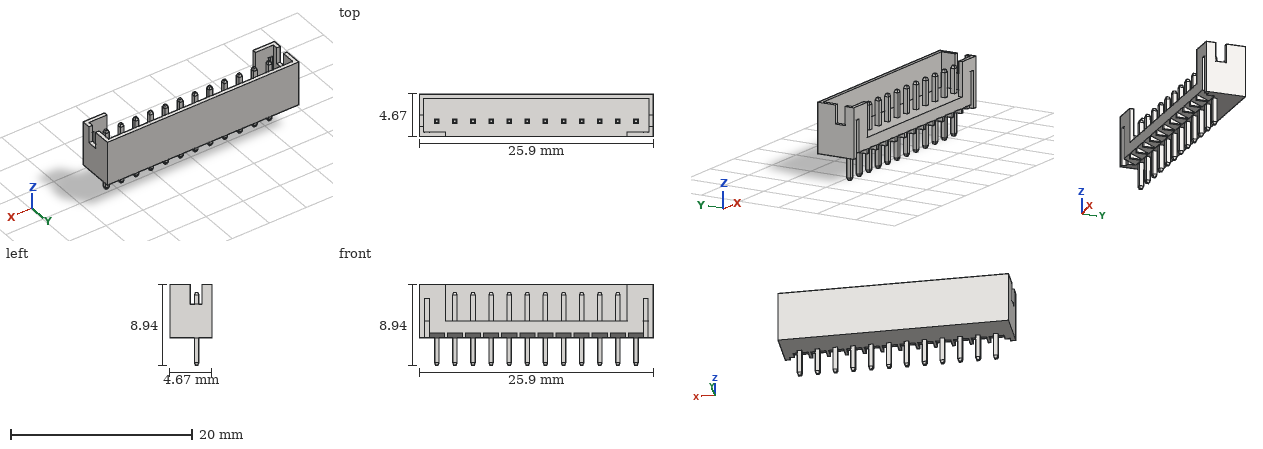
import cadquery as cq
import math


length = 25.86
depth = 4.67
height = 5.9
wall = 0.48
floor_top = 1.87
front_post_width = 2.91

notch_from_front = 1.13
notch_width = 1.27
notch_bottom = 3.72

slot_inset = 0.58
slot_width = 0.54
slot_top = 4.37

relief_height = 0.55
relief_slope = 21.5
rib_width = 0.33

pin_count = 12
pitch = 2.0
pin_width = 0.5
pin_from_front = 1.7
pin_top = 5.02
total_height = 8.94
tip_height = 0.3
tip_slope = 19.8

front_y = -depth / 2
back_y = depth / 2
pin_y = front_y + pin_from_front
pin_bottom = height - total_height
first_pin_x = -(pin_count - 1) * pitch / 2
slot_outer_x = length / 2 - slot_inset
slot_inner_x = slot_outer_x - slot_width
relief_depth = relief_height / math.tan(math.radians(relief_slope))
tip_width = pin_width - 2 * tip_height * math.tan(math.radians(tip_slope))


def block(x_range, y_range, z_range):
    """Box spanning the given (low, high) limits on each axis."""
    sizes = [high - low for low, high in (x_range, y_range, z_range)]
    corner = (x_range[0], y_range[0], z_range[0])
    return cq.Workplane("XY").box(*sizes, centered=False).translate(corner)


def make_shell():
    """Housing with its cavity, front opening and end-wall notches."""
    half = length / 2
    inner = half - wall
    opening = half - front_post_width
    notch_front = front_y + notch_from_front
    shell = block((-half, half), (front_y, back_y), (0, height))
    cavity = block((-inner, inner), (front_y + wall, back_y - wall), (floor_top, height))
    front_opening = block((-opening, opening), (front_y, front_y + wall), (floor_top, height))
    notches = block((-half, half), (notch_front, notch_front + notch_width), (notch_bottom, height))
    return shell.cut(cavity).cut(front_opening).cut(notches)


def make_front_slots():
    """Cutters for the two slots, as deep as the front wall."""
    slot = block((slot_inner_x, slot_outer_x), (front_y, front_y + wall), (0, slot_top))
    return slot.union(slot.mirror("YZ"))


def make_relief():
    """Wedge-shaped cutter between the slots, with gaps where the ribs stay."""
    profile = [(front_y, 0), (front_y + relief_depth, 0), (front_y, relief_height)]
    wedge = cq.Workplane("YZ").polyline(profile).close().extrude(slot_inner_x, both=True)
    for i in range(pin_count - 1):
        rib_x = first_pin_x + (i + 0.5) * pitch
        rib_sides = (rib_x - rib_width / 2, rib_x + rib_width / 2)
        wedge = wedge.cut(block(rib_sides, (front_y, back_y), (0, relief_height)))
    return wedge


def make_tip(base_z, direction):
    """Tapered pin end starting at base_z; direction is 1 for up, -1 for down."""
    return (
        cq.Workplane("XY", origin=(0, pin_y, base_z))
        .rect(pin_width, pin_width)
        .workplane(offset=direction * tip_height)
        .rect(tip_width, tip_width)
        .loft(ruled=True)
    )


def make_pin():
    """Square pin at X = 0 with both ends tapered."""
    half = pin_width / 2
    shank_bottom = pin_bottom + tip_height
    shank_top = pin_top - tip_height
    shank = block((-half, half), (pin_y - half, pin_y + half), (shank_bottom, shank_top))
    return shank.union(make_tip(shank_top, 1)).union(make_tip(shank_bottom, -1))


result = make_shell().cut(make_front_slots()).cut(make_relief())
pin = make_pin()
for i in range(pin_count):
    result = result.union(pin.translate((first_pin_x + i * pitch, 0, 0)))